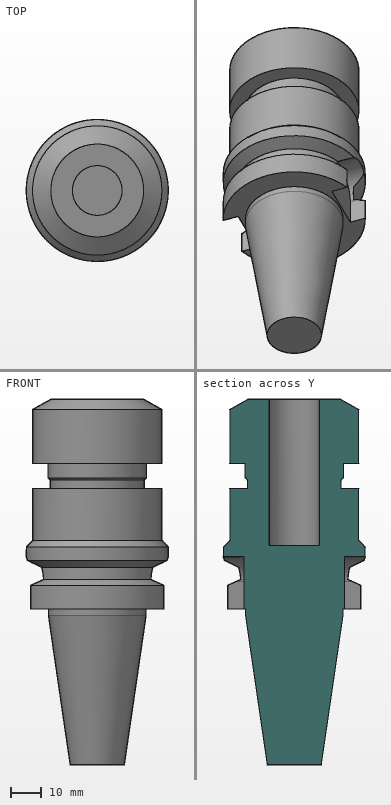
import cadquery as cq

total_height = 118.4
taper_top = 48.4
flange_bottom = 50.4
groove_bottom = 60.0
groove_top = 63.9
rim_bottom = 66.2
rim_top = 70.6
body_bottom = 72.7
body_top = 89.5
neck_top = 92.2
collar_bottom = 93.0
nut_bottom = 97.6
nut_chamfer_height = 3.3
flange_chamfer_height = 1.9

gauge_radius = 15.9
tip_radius = gauge_radius - taper_top * 7 / 48
flange_diameter = 46.0
flange_radius = flange_diameter / 2
groove_radius = 19.2
body_radius = 21.0
neck_radius = 15.3
collar_radius = 16.0
nut_face_radius = 15.0

bore_radius = 8.0
bore_depth = 47.4
slot_half_width = 8.0
slot_top = 67.4
slot_floor = 16.3


def turned_body():
    """Revolve the holder and nut profile, given as (radius, height)."""
    profile = [
        (0, 0),
        (tip_radius, 0),
        (gauge_radius, taper_top),
        (gauge_radius, flange_bottom),
        (flange_radius, flange_bottom),
        (flange_radius, groove_bottom - flange_chamfer_height),
        (groove_radius, groove_bottom),
        (groove_radius, groove_top),
        (flange_radius, rim_bottom),
        (flange_radius, rim_top),
        (body_radius, body_bottom),
        (body_radius, body_top),
        (neck_radius, body_top),
        (neck_radius, neck_top),
        (collar_radius, collar_bottom),
        (collar_radius, nut_bottom),
        (body_radius, nut_bottom),
        (body_radius, total_height - nut_chamfer_height),
        (nut_face_radius, total_height),
        (0, total_height),
    ]
    return cq.Workplane("XZ").polyline(profile).close().revolve(360, (0, 0), (0, 1))


def drive_slot():
    """Round-topped cutter for the slot on the +X side, open at the flange bottom."""
    arch_center = slot_top - slot_half_width
    return (
        cq.Workplane("YZ", origin=(slot_floor, 0, 0))
        .moveTo(-slot_half_width, flange_bottom)
        .lineTo(slot_half_width, flange_bottom)
        .lineTo(slot_half_width, arch_center)
        .threePointArc((0, slot_top), (-slot_half_width, arch_center))
        .close()
        .extrude(flange_radius)
    )


def tool_bore():
    """Cutter for the blind bore in the nut face."""
    return cq.Workplane("XY", origin=(0, 0, total_height)).circle(bore_radius).extrude(-bore_depth)


result = turned_body().cut(tool_bore())
for angle in (0, 180):
    result = result.cut(drive_slot().rotate((0, 0, 0), (0, 0, 1), angle))